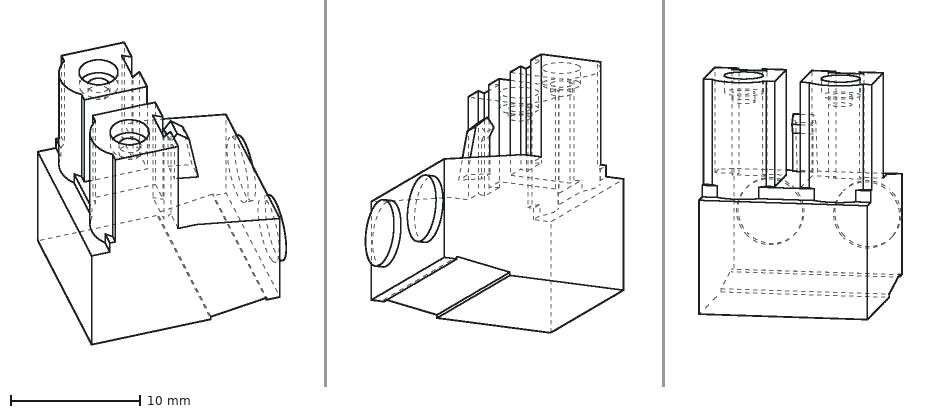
import cadquery as cq

width = 13.25
total_height = 18.15
total_depth = 15.95
back_y = 15.35
back_top_z = 8.7
deck_z = 9.87
deck_back_y = 8.55
ledge_z = 8.97
ledge_depth = 1.49
foot_z = 0.76
foot_front_y = 14.27
belly_back_z = 0.96
belly_front_z = 0.25
base_back_y = 9.73

tower_width = 5.63
tower_front_y = 1.95
tower_back_y = 7.06
nose_tip_y = 0.95
nose_half_width = 2.12
slot_mouth = 1.85
slot_floor_width = 2.75
slot_depth = 0.69

bore_y = 4.03
bore_radius = 1.5
bore_depth = 1.3
pin_hole_radius = 0.85
pin_hole_depth = 0.73

pad_radius = 2.6
pad_z = 5.37

latch_width = 1.6
latch_foot_y = 10.64
latch_shoulder = (9.9, 13.5)
latch_top = (8.91, 14.34)
latch_nose = (8.35, 13.61)
latch_neck = (8.7, 12.87)

tower_x = (width - tower_width) / 2


def side_extrusion(points, thickness):
    """Extrude a closed (Y, Z) outline symmetrically about the X = 0 plane."""
    return cq.Workplane("YZ").polyline(points).close().extrude(thickness / 2, both=True)


def roof_z(y):
    """Height of the sloping roof behind the deck."""
    slope = (deck_z - back_top_z) / (back_y - deck_back_y)
    return deck_z - slope * (y - deck_back_y)


def make_housing():
    return side_extrusion(
        [
            (0, 0),
            (base_back_y, 0),
            (base_back_y, belly_front_z),
            (foot_front_y, belly_back_z),
            (foot_front_y, foot_z),
            (back_y, foot_z),
            (back_y, back_top_z),
            (deck_back_y, deck_z),
            (ledge_depth, deck_z),
            (ledge_depth, ledge_z),
            (0, ledge_z),
        ],
        width,
    )


def make_latch():
    neck_y = latch_neck[0]
    return side_extrusion(
        [
            (latch_foot_y, roof_z(latch_foot_y)),
            latch_shoulder,
            latch_top,
            latch_nose,
            latch_neck,
            (neck_y, roof_z(neck_y)),
        ],
        latch_width,
    )


def make_tower(x):
    """Block with a rounded front nose and a dovetail slot down its back."""
    block = cq.Workplane("XY", origin=(x, 0, deck_z)).polyline(
        [
            (-tower_width / 2, tower_front_y),
            (tower_width / 2, tower_front_y),
            (tower_width / 2, tower_back_y),
            (slot_mouth / 2, tower_back_y),
            (slot_floor_width / 2, tower_back_y - slot_depth),
            (-slot_floor_width / 2, tower_back_y - slot_depth),
            (-slot_mouth / 2, tower_back_y),
            (-tower_width / 2, tower_back_y),
        ]
    ).close().extrude(total_height - deck_z)
    nose = (
        cq.Workplane("XY", origin=(x, 0, ledge_z))
        .moveTo(-nose_half_width, tower_front_y)
        .threePointArc((0, nose_tip_y), (nose_half_width, tower_front_y))
        .close()
        .extrude(total_height - ledge_z)
    )
    return block.union(nose)


def make_bore(x):
    top = cq.Workplane("XY", origin=(x, bore_y, total_height))
    wide = top.circle(bore_radius).extrude(-bore_depth)
    narrow = top.circle(pin_hole_radius).extrude(-(bore_depth + pin_hole_depth))
    return wide.union(narrow)


def make_pad(x):
    pad_thickness = total_depth - back_y
    return cq.Workplane("XZ", origin=(x, back_y, pad_z)).circle(pad_radius).extrude(-pad_thickness)


result = make_housing().union(make_latch())
for x in (-tower_x, tower_x):
    result = result.union(make_tower(x)).union(make_pad(x)).cut(make_bore(x))